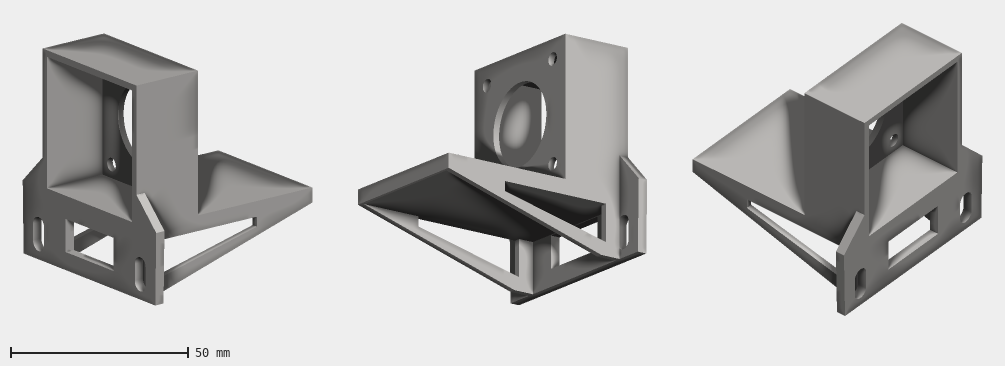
import cadquery as cq

height = 63.0
depth = 63.0

body_width = 42.9
housing_depth = 22.05
housing_wall = 1.95
back_wall = 2.0
cavity_size = body_width - 2 * housing_wall
cavity_center_z = height - housing_wall - cavity_size / 2
motor_bore_diameter = 25.0
screw_hole_diameter = 4.0
screw_spacing = 31.0

shelf_top = 20.1
shelf_tip_thickness = 4.5
foot_depth = 9.4

side_wall = 1.95

opening_front = 7.8
opening_back = 43.15
opening_top = 15.45
opening_front_bottom = 4.15
opening_back_bottom = 12.5

flange_width = 61.0
flange_base_width = 60.1
flange_thickness = 2.95
ear_corner_z = 21.6
ear_top_z = 30.6
slot_spacing = 46.4
slot_width = 5.05
slot_length = 10.1
slot_center_z = 7.5

window_width = 21.85
window_height = 9.8
window_bottom = 5.35


def front_sketch(start_y=0.0):
    """Workplane in X and Z; a negative extrusion goes towards +Y."""
    return cq.Workplane("XZ", origin=(0, start_y, 0))


def side_prism(points):
    """Prism as wide as the body, from an outline in Y and Z."""
    return cq.Workplane("YZ").polyline(points).close().extrude(body_width / 2, both=True)


def make_body():
    return side_prism([
        (0, 0),
        (foot_depth, 0),
        (depth, shelf_top - shelf_tip_thickness),
        (depth, shelf_top),
        (housing_depth, shelf_top),
        (housing_depth, height),
        (0, height),
    ])


def make_flange():
    right_side = [
        (flange_base_width / 2, 0),
        (flange_width / 2, ear_corner_z),
        (body_width / 2, ear_top_z),
    ]
    left_side = [(-x, z) for x, z in reversed(right_side)]
    return front_sketch().polyline(right_side + left_side).close().extrude(-flange_thickness)


def make_motor_cutters():
    cavity = (
        front_sketch().center(0, cavity_center_z)
        .rect(cavity_size, cavity_size)
        .extrude(-(housing_depth - back_wall))
    )
    bore = (
        front_sketch().center(0, cavity_center_z)
        .circle(motor_bore_diameter / 2)
        .extrude(-housing_depth)
    )
    screw_holes = (
        front_sketch().center(0, cavity_center_z)
        .rect(screw_spacing, screw_spacing, forConstruction=True).vertices()
        .circle(screw_hole_diameter / 2)
        .extrude(-housing_depth)
    )
    return cavity.union(bore).union(screw_holes)


def make_under_hollow():
    hollow_width = body_width - 2 * side_wall
    return (
        front_sketch(flange_thickness).center(0, opening_top / 2)
        .rect(hollow_width, opening_top)
        .extrude(-(depth - flange_thickness))
    )


def make_support_opening():
    return side_prism([
        (opening_front, opening_front_bottom),
        (opening_back, opening_back_bottom),
        (opening_back, opening_top),
        (opening_front, opening_top),
    ])


def make_slots():
    return (
        front_sketch()
        .pushPoints([(side * slot_spacing / 2, slot_center_z) for side in (-1, 1)])
        .slot2D(slot_length, slot_width, 90)
        .extrude(-flange_thickness)
    )


def make_window():
    return (
        front_sketch().center(0, window_bottom + window_height / 2)
        .rect(window_width, window_height)
        .extrude(-flange_thickness)
    )


result = (
    make_body()
    .union(make_flange())
    .cut(make_motor_cutters())
    .cut(make_under_hollow())
    .cut(make_support_opening())
    .cut(make_slots())
    .cut(make_window())
)